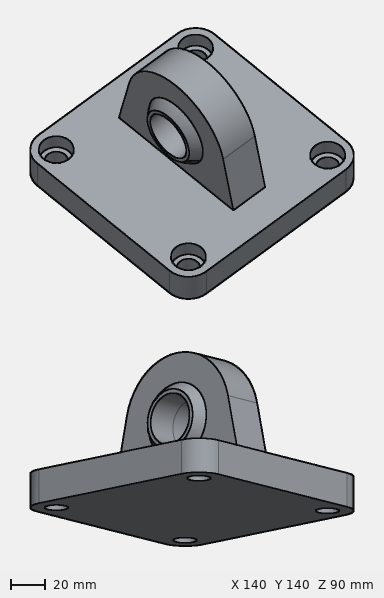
import cadquery as cq
import math

plate_side = 140.0
plate_thickness = 20.0
corner_radius = 15.0
bolt_spacing = 110.0
bolt_hole_diameter = 13.5
counterbore_diameter = 20.0
counterbore_depth = 10.0

overall_height = 90.0
eye_radius = 40.0
lug_thickness = 25.0
lug_base_width = 95.3
eye_height = overall_height - eye_radius

ball_radius = 25.6
ball_width = 37.5
bore_diameter = 30.0


def make_ball_sphere():
    """Full sphere centred in the lug eye; also the shape of the seat."""
    return cq.Workplane("XY").sphere(ball_radius).translate((0, 0, eye_height))


def make_plate():
    """Rounded square plate with counterbored holes near its corners."""
    return (
        cq.Workplane("XY")
        .box(plate_side, plate_side, plate_thickness, centered=(True, True, False))
        .edges("|Z")
        .fillet(corner_radius)
        .faces(">Z")
        .workplane()
        .rect(bolt_spacing, bolt_spacing, forConstruction=True)
        .vertices()
        .cboreHole(bolt_hole_diameter, counterbore_diameter, counterbore_depth)
    )


def make_lug():
    """Upright lug, centred on the plate in Y."""
    half_base = lug_base_width / 2
    eye_rise = eye_height - plate_thickness
    corner_distance = math.hypot(half_base, eye_rise)
    tangent_angle = math.acos(eye_radius / corner_distance) - math.atan2(eye_rise, half_base)
    tangent_x = eye_radius * math.cos(tangent_angle)
    tangent_z = eye_height + eye_radius * math.sin(tangent_angle)
    return (
        cq.Workplane("XZ")
        .moveTo(-half_base, plate_thickness)
        .lineTo(half_base, plate_thickness)
        .lineTo(tangent_x, tangent_z)
        .threePointArc((0, overall_height), (-tangent_x, tangent_z))
        .close()
        .extrude(lug_thickness / 2, both=True)
    )


def make_bracket():
    """Plate and lug in one piece, with a spherical seat through the lug."""
    return make_plate().union(make_lug()).cut(make_ball_sphere())


def make_ball():
    """Sphere with two flat ends, bored through along Y."""
    bored_cylinder = (
        cq.Workplane("XZ")
        .center(0, eye_height)
        .circle(ball_radius)
        .circle(bore_diameter / 2)
        .extrude(ball_width / 2, both=True)
    )
    return make_ball_sphere().intersect(bored_cylinder)


bracket = make_bracket()
ball = make_ball()

result = cq.Compound.makeCompound([bracket.val(), ball.val()])